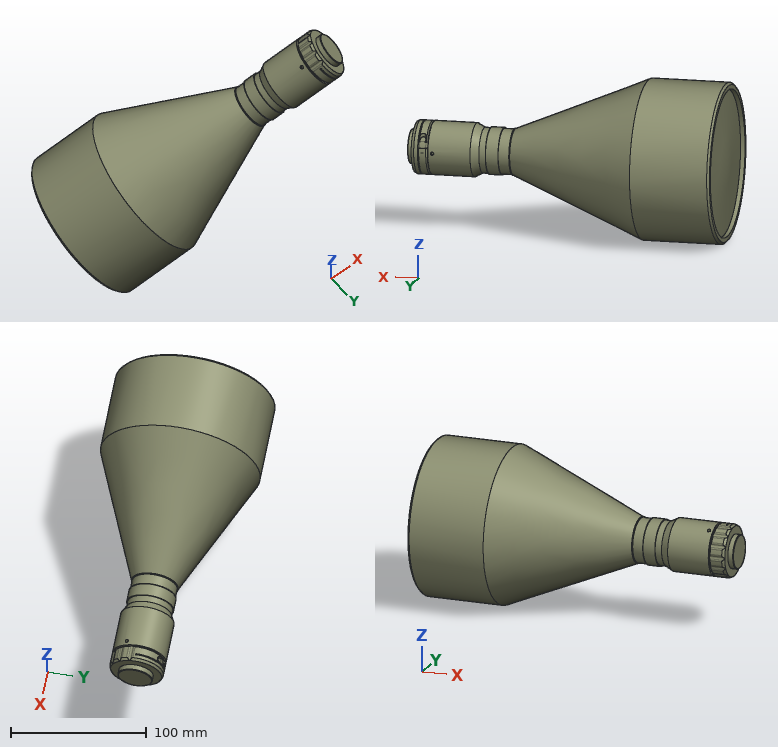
import cadquery as cq
import math

length = 239.4

barrel_radius = 59.95
barrel_length = 60.0
barrel_chamfer = 1.7

cone_end_x = 160.8
cone_end_radius = 17.5
neck_start_x = 161.5
neck_radius = 17.0
band_start_x = 169.7
band_end_x = 179.3
band_radius = 17.7
flare_start_x = 184.3

sleeve_start_x = 190.3
sleeve_radius = 20.0
core_radius = 18.5
relief_start_x = 222.4
ring_start_x = 222.8
ring_front_chamfer = 1.0
ring_bevel_length = 2.2
ring_bevel_drop = 1.0
ring_end_x = 235.0

spigot_radius = 13.0
spigot_chamfer = 0.5

lens_radius = 55.0
lens_edge_depth = 3.4
lens_edge_thickness = 7.2
lens_back_x = lens_edge_depth + lens_edge_thickness

flute_pitch = 25.0
flutes_each_side = 3
flute_depth = 0.84
flute_tool_radius = 2.0
flute_edge_radius = 2.0

slit_start_x = 229.3
slit_width = 0.7
slit_limit_y = -1.2
band_gap_width = 4.5
band_gap_z = 5.7

clamp_hole_x = 226.7
clamp_hole_y = 17.0
clamp_hole_radius = 2.5
set_screw_count = 3
set_screw_first_angle = 60.0
set_screw_x = 219.0
set_screw_radius = 1.2
set_screw_depth = 2.5


def revolve_about_x(profile):
    return profile.close().revolve(360, (0, 0, 0), (1, 0, 0))


def tube(start_x, end_x, inner_radius, outer_radius):
    """A tube around the X axis."""
    return (
        cq.Workplane("YZ", origin=(start_x, 0, 0))
        .circle(outer_radius)
        .circle(inner_radius)
        .extrude(end_x - start_x)
    )


def turned_body():
    """Outer shape of the housing without the recess and the cuts."""
    outline = (
        cq.Workplane("XZ")
        .moveTo(0, 0)
        .lineTo(0, barrel_radius - barrel_chamfer)
        .lineTo(barrel_chamfer, barrel_radius)
        .lineTo(barrel_length, barrel_radius)
        .lineTo(cone_end_x, cone_end_radius)
        .lineTo(neck_start_x, cone_end_radius)
        .lineTo(neck_start_x, neck_radius)
        .lineTo(band_start_x, neck_radius)
        .lineTo(band_start_x, band_radius)
        .lineTo(band_end_x, band_radius)
        .lineTo(band_end_x, neck_radius)
        .lineTo(flare_start_x, neck_radius)
        .lineTo(sleeve_start_x, sleeve_radius)
        .lineTo(relief_start_x, sleeve_radius)
        .lineTo(relief_start_x, core_radius)
        .lineTo(ring_start_x, core_radius)
        .lineTo(ring_start_x, sleeve_radius - ring_front_chamfer)
        .lineTo(ring_start_x + ring_front_chamfer, sleeve_radius)
        .lineTo(ring_end_x - ring_bevel_length, sleeve_radius)
        .lineTo(ring_end_x, sleeve_radius - ring_bevel_drop)
        .lineTo(ring_end_x, spigot_radius)
        .lineTo(length - spigot_chamfer, spigot_radius)
        .lineTo(length, spigot_radius - spigot_chamfer)
        .lineTo(length, 0)
    )
    return revolve_about_x(outline)


def lens_recess():
    return cq.Workplane("YZ").circle(lens_radius).extrude(lens_back_x)


def flute_cutter():
    """Flute on the -Y side: a round trough whose edges roll over into the ring surface."""
    trough_y = -(sleeve_radius - flute_depth + flute_tool_radius)
    edge_center_radius = sleeve_radius - flute_edge_radius
    center_gap = flute_tool_radius + flute_edge_radius
    trough_center = -trough_y
    cos_half = (trough_center**2 + edge_center_radius**2 - center_gap**2) / (
        2 * trough_center * edge_center_radius
    )
    half = math.acos(cos_half)
    edge_y = -edge_center_radius * cos_half
    edge_z = edge_center_radius * math.sin(half)
    rim_y = -sleeve_radius * cos_half
    rim_z = sleeve_radius * math.sin(half)
    share = flute_tool_radius / center_gap
    touch_y = trough_y + (edge_y - trough_y) * share
    touch_z = edge_z * share
    mid_direction = math.hypot((rim_y + touch_y) / 2 - edge_y, (rim_z + touch_z) / 2 - edge_z)
    mid_y = edge_y + ((rim_y + touch_y) / 2 - edge_y) * flute_edge_radius / mid_direction
    mid_z = edge_z + ((rim_z + touch_z) / 2 - edge_z) * flute_edge_radius / mid_direction
    outer_y = -(sleeve_radius + flute_depth)
    return (
        cq.Workplane("YZ", origin=(ring_start_x, 0, 0))
        .moveTo(rim_y, rim_z)
        .threePointArc((mid_y, mid_z), (touch_y, touch_z))
        .threePointArc((trough_y + flute_tool_radius, 0), (touch_y, -touch_z))
        .threePointArc((mid_y, -mid_z), (rim_y, -rim_z))
        .lineTo(outer_y, -rim_z)
        .lineTo(outer_y, rim_z)
        .close()
        .extrude(ring_end_x - ring_start_x)
    )


def clamp_slit():
    """Saw cut across the ring, down to its core."""
    saw_plane = tube(slit_start_x, slit_start_x + slit_width, core_radius, sleeve_radius)
    cut_side = (
        cq.Workplane("XY")
        .box(length, 2 * sleeve_radius, 2 * sleeve_radius, centered=(False, False, True))
        .translate((0, slit_limit_y, 0))
    )
    return saw_plane.intersect(cut_side)


def band_gap_cut():
    """Gap that parts the clamping band on the +Y side."""
    band = tube(ring_start_x, slit_start_x, core_radius, sleeve_radius)
    gap = (
        cq.Workplane("XY")
        .box(length, sleeve_radius, band_gap_width, centered=(False, False, True))
        .translate((0, 0, band_gap_z))
    )
    return band.intersect(gap)


def clamp_screw_hole():
    """Hole from +Z down to the middle plane that leaves the core of the ring whole."""
    shaft = (
        cq.Workplane("XY")
        .center(clamp_hole_x, clamp_hole_y)
        .circle(clamp_hole_radius)
        .extrude(sleeve_radius)
    )
    core = cq.Workplane("YZ").circle(core_radius).extrude(length)
    return shaft.cut(core)


def set_screw_hole():
    """Radial hole on the -Y side of the sleeve."""
    return (
        cq.Workplane("XZ", origin=(0, -sleeve_radius + set_screw_depth, 0))
        .center(set_screw_x, 0)
        .circle(set_screw_radius)
        .extrude(2 * set_screw_depth)
    )


def around_x(shape, angle):
    """Turns a shape from -Y toward +Z."""
    return shape.rotate((0, 0, 0), (1, 0, 0), -angle)


def make_housing():
    body = turned_body().cut(lens_recess())
    for step in range(-flutes_each_side, flutes_each_side + 1):
        body = body.cut(around_x(flute_cutter(), step * flute_pitch))
    body = body.cut(clamp_slit()).cut(band_gap_cut()).cut(clamp_screw_hole())
    for step in range(set_screw_count):
        angle = set_screw_first_angle + step * 360 / set_screw_count
        body = body.cut(around_x(set_screw_hole(), angle))
    return body


def make_lens():
    """Disc with a shallow conical front that fills the recess."""
    outline = (
        cq.Workplane("XZ")
        .moveTo(0, 0)
        .lineTo(lens_edge_depth, lens_radius)
        .lineTo(lens_back_x, lens_radius)
        .lineTo(lens_back_x, 0)
    )
    return revolve_about_x(outline)


housing = make_housing()
lens = make_lens()
result = cq.Compound.makeCompound([housing.val(), lens.val()])